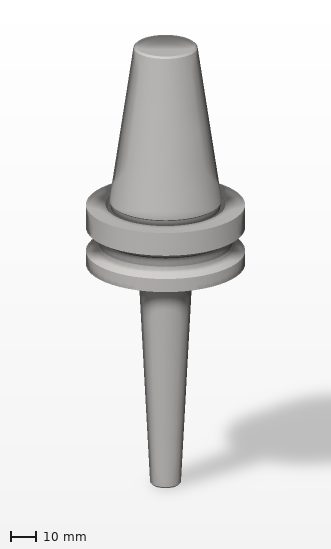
import cadquery as cq
import math

total_length = 185.4
gauge_z = 120.0
gauge_radius = 22.2
taper_ratio = 7 / 24
top_chamfer = 0.7

relief_radius = 21.7
relief_top_z = 119.4
recess_radius = 23.7
recess_depth = 1.0
recess_bevel = 0.7

flange_radius = 31.5
flange_top_z = 118.1
flange_bottom_z = 93.0
groove_radius = 26.5
groove_upper_z = 108.5
groove_lower_z = 98.6
groove_upper_flank_height = 3.0
groove_lower_flank_height = 2.2
groove_root_bevel_width = 1.0
groove_root_bevel_height = 1.1

blend_radius = 9.8
nose_root_radius = 10.4
nose_root_z = flange_bottom_z - blend_radius
nose_tip_radius = 6.1
tip_chamfer = 0.7

top_radius = gauge_radius - (total_length - gauge_z) * taper_ratio / 2
recess_floor_z = flange_top_z - recess_depth
groove_root_z = groove_lower_z + groove_lower_flank_height
blend_mid = math.sin(math.radians(45)) * blend_radius

profile = (
    cq.Workplane("XZ")
    .moveTo(0, 0)
    .lineTo(nose_tip_radius - tip_chamfer, 0)
    .lineTo(nose_tip_radius, tip_chamfer)
    .lineTo(nose_root_radius, nose_root_z)
    .threePointArc(
        (nose_root_radius + blend_radius - blend_mid, nose_root_z + blend_mid),
        (nose_root_radius + blend_radius, flange_bottom_z),
    )
    .lineTo(flange_radius, flange_bottom_z)
    .lineTo(flange_radius, groove_lower_z)
    .lineTo(groove_radius + groove_root_bevel_width, groove_root_z)
    .lineTo(groove_radius, groove_root_z + groove_root_bevel_height)
    .lineTo(groove_radius, groove_upper_z - groove_upper_flank_height)
    .lineTo(flange_radius, groove_upper_z)
    .lineTo(flange_radius, flange_top_z)
    .lineTo(recess_radius, flange_top_z)
    .lineTo(recess_radius, recess_floor_z + recess_bevel)
    .lineTo(recess_radius - recess_bevel, recess_floor_z)
    .lineTo(relief_radius, recess_floor_z)
    .lineTo(relief_radius, relief_top_z)
    .lineTo(gauge_radius, gauge_z)
    .lineTo(top_radius, total_length - top_chamfer)
    .lineTo(top_radius - top_chamfer, total_length)
    .lineTo(0, total_length)
    .close()
)

result = profile.revolve(360, (0, 0, 0), (0, 1, 0))